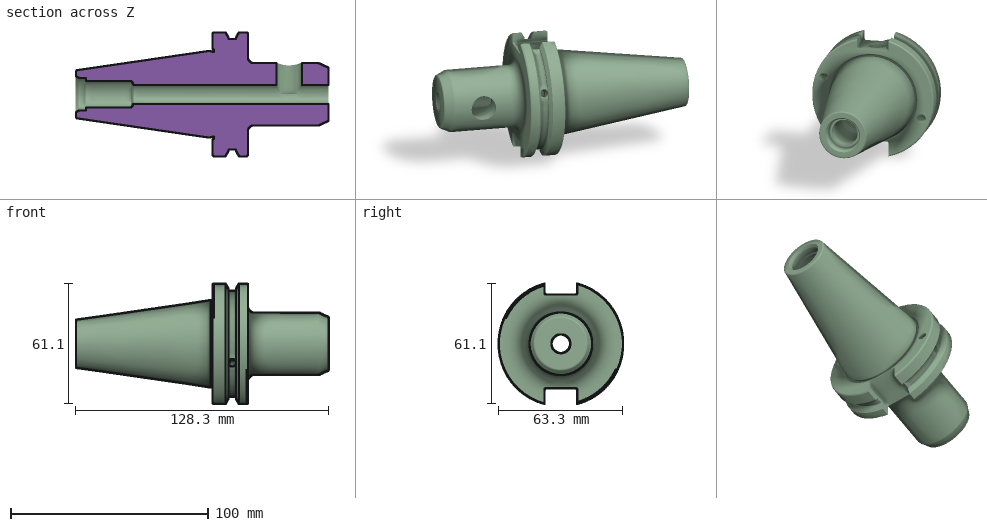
import cadquery as cq
import math

GAUGE_DIAMETER = 44.45
SHANK_LENGTH = 68.25
TAPER_PER_LENGTH = 7 / 24
SHANK_END_DIAMETER = GAUGE_DIAMETER - SHANK_LENGTH * TAPER_PER_LENGTH
SHANK_END_FILLET = 0.8
NECK_DIAMETER = 43.8
NECK_LAND = 0.6
NECK_UNDERCUT = 0.5

FLANGE_START = 1.0
FLANGE_END = 19.05
FLANGE_DIAMETER = 63.26
FLANGE_EDGE_FILLET = 0.8
FACE_RECESS_DIAMETER = 46.4
FACE_RECESS_DEPTH = 0.7
GROOVE_CENTER = 11.0
GROOVE_FLOOR_WIDTH = 3.75
GROOVE_FLOOR_DIAMETER = 56.36
GROOVE_WALL_HEIGHT = 0.8
GROOVE_HALF_ANGLE = 30

BODY_DIAMETER = 31.75
BODY_END = 60.0
BODY_ROOT_FILLET = 3.0
NOSE_LENGTH = 5.0
NOSE_ANGLE = 25
NOSE_EDGE_FILLET = 1.0
NOSE_SHOULDER_FILLET = 1.0

SLOT_WIDTH = 16.43
TOP_SLOT_FLOOR = 25.0
BOTTOM_SLOT_FLOOR = 22.6
SLOT_FLOOR_FILLET = 0.8

DIMPLE_DIAMETER = 9.53
DRILL_POINT_ANGLE = 118

THROUGH_DIAMETER = 9.4
PILOT_DIAMETER = 16.3
PILOT_DEPTH = 5.0
PILOT_MOUTH_DIAMETER = 18.1
PILOT_MOUTH_HALF_ANGLE = 30
THREAD_DIAMETER = 13.39
THREAD_DEPTH = 28.0

SCREW_POSITION = 39.9
SCREW_HOLE_DIAMETER = 12.7

COOLANT_ANGLE = 20
COOLANT_RADIUS = 27.0
COOLANT_TILT = 25
COOLANT_MOUTH_DIAMETER = 4.2
COOLANT_MOUTH_DEPTH = 2.5
COOLANT_FEED_DIAMETER = 3.24
COOLANT_CROSS_DIAMETER = 4.0
COOLANT_CROSS_DEPTH = 9.0

CUT_MARGIN = 1.0


def drill_point_height(diameter):
    """Height of the conical point left by a twist drill."""
    return diameter / 2 / math.tan(math.radians(DRILL_POINT_ANGLE / 2))


def revolve_about_x(profile):
    return profile.close().revolve(360, (0, 0, 0), (1, 0, 0))


def make_shank():
    """Taper shank and the neck that joins it to the flange."""
    profile = (
        cq.Workplane("XY")
        .moveTo(-SHANK_LENGTH, 0)
        .lineTo(-SHANK_LENGTH, SHANK_END_DIAMETER / 2)
        .lineTo(0, GAUGE_DIAMETER / 2)
        .lineTo(0, NECK_DIAMETER / 2)
        .lineTo(FLANGE_START + FACE_RECESS_DEPTH, NECK_DIAMETER / 2)
        .lineTo(FLANGE_START + FACE_RECESS_DEPTH, 0)
    )
    return revolve_about_x(profile).faces("<X").edges().fillet(SHANK_END_FILLET)


def make_flange():
    """Flange disc with rounded rims."""
    disc = (
        cq.Workplane("YZ", origin=(FLANGE_START, 0, 0))
        .circle(FLANGE_DIAMETER / 2)
        .extrude(FLANGE_END - FLANGE_START)
    )
    return disc.edges().fillet(FLANGE_EDGE_FILLET)


def make_face_recess():
    """Shallow ring with sloping walls that undercuts the neck and the flange face around it."""
    outer_radius = FACE_RECESS_DIAMETER / 2
    floor_position = FLANGE_START + FACE_RECESS_DEPTH
    profile = (
        cq.Workplane("XY")
        .moveTo(NECK_LAND, NECK_DIAMETER / 2)
        .lineTo(FLANGE_START, outer_radius)
        .lineTo(floor_position, outer_radius - FACE_RECESS_DEPTH)
        .lineTo(floor_position, NECK_DIAMETER / 2 - NECK_UNDERCUT)
    )
    return revolve_about_x(profile)


def make_groove():
    """Ring that cuts the V groove: upright walls at the floor, flared above."""
    floor_radius = GROOVE_FLOOR_DIAMETER / 2
    wall_radius = floor_radius + GROOVE_WALL_HEIGHT
    outer_radius = FLANGE_DIAMETER / 2 + CUT_MARGIN
    half_floor = GROOVE_FLOOR_WIDTH / 2
    flare = (outer_radius - wall_radius) * math.tan(math.radians(GROOVE_HALF_ANGLE))
    profile = (
        cq.Workplane("XY")
        .moveTo(GROOVE_CENTER - half_floor, floor_radius)
        .lineTo(GROOVE_CENTER - half_floor, wall_radius)
        .lineTo(GROOVE_CENTER - half_floor - flare, outer_radius)
        .lineTo(GROOVE_CENTER + half_floor + flare, outer_radius)
        .lineTo(GROOVE_CENTER + half_floor, wall_radius)
        .lineTo(GROOVE_CENTER + half_floor, floor_radius)
    )
    return revolve_about_x(profile)


def make_body():
    """Cylindrical body with a root fillet and a tapered nose."""
    radius = BODY_DIAMETER / 2
    nose_start = BODY_END - NOSE_LENGTH
    nose_radius = radius - NOSE_LENGTH * math.tan(math.radians(NOSE_ANGLE))
    fillet_end = FLANGE_END + BODY_ROOT_FILLET
    arc_offset = BODY_ROOT_FILLET * (1 - math.sqrt(0.5))
    profile = (
        cq.Workplane("XY")
        .moveTo(FLANGE_START, 0)
        .lineTo(FLANGE_START, radius + BODY_ROOT_FILLET)
        .lineTo(FLANGE_END, radius + BODY_ROOT_FILLET)
        .threePointArc((FLANGE_END + arc_offset, radius + arc_offset), (fillet_end, radius))
        .lineTo(nose_start, radius)
        .lineTo(BODY_END, nose_radius)
        .lineTo(BODY_END, 0)
    )
    body = revolve_about_x(profile)
    shoulder = cq.selectors.NearestToPointSelector((nose_start, 0, 0))
    body = body.edges(shoulder).fillet(NOSE_SHOULDER_FILLET)
    return body.faces(">X").edges().fillet(NOSE_EDGE_FILLET)


def make_drive_slot(floor_height, side):
    """Cutter for one drive slot; side is +1 above the axis and -1 below it."""
    height = FLANGE_DIAMETER / 2 + CUT_MARGIN - floor_height
    cutter = (
        cq.Workplane("XY")
        .box(FLANGE_END, SLOT_WIDTH, height, centered=(False, True, True))
        .translate((0, 0, side * (floor_height + height / 2)))
    )
    floor_face = "<Z" if side > 0 else ">Z"
    return cutter.faces(floor_face).edges("|X").fillet(SLOT_FLOOR_FILLET)


def make_dimple():
    """Conical dimple centred on the groove in the upper slot floor."""
    depth = drill_point_height(DIMPLE_DIAMETER)
    cone = cq.Solid.makeCone(
        DIMPLE_DIAMETER / 2,
        0,
        depth,
        pnt=cq.Vector(GROOVE_CENTER, 0, TOP_SLOT_FLOOR),
        dir=cq.Vector(0, 0, -1),
    )
    return cq.Workplane(cone)


def make_bore():
    """Through bore, pull-stud thread with drill point, pilot and mouth chamfer."""
    through_radius = THROUGH_DIAMETER / 2
    pilot_radius = PILOT_DIAMETER / 2
    mouth_radius = PILOT_MOUTH_DIAMETER / 2
    thread_radius = THREAD_DIAMETER / 2
    point_height = drill_point_height(THREAD_DIAMETER) - drill_point_height(THROUGH_DIAMETER)
    thread_end = THREAD_DEPTH - SHANK_LENGTH
    mouth_depth = (mouth_radius - pilot_radius) / math.tan(math.radians(PILOT_MOUTH_HALF_ANGLE))
    profile = (
        cq.Workplane("XY")
        .moveTo(-SHANK_LENGTH, 0)
        .lineTo(-SHANK_LENGTH, mouth_radius)
        .lineTo(mouth_depth - SHANK_LENGTH, pilot_radius)
        .lineTo(PILOT_DEPTH - SHANK_LENGTH, pilot_radius)
        .lineTo(PILOT_DEPTH - SHANK_LENGTH, thread_radius)
        .lineTo(thread_end, thread_radius)
        .lineTo(thread_end + point_height, through_radius)
        .lineTo(BODY_END, through_radius)
        .lineTo(BODY_END, 0)
    )
    return revolve_about_x(profile)


def make_cylinder(diameter, start, direction, length):
    return cq.Workplane(
        cq.Solid.makeCylinder(diameter / 2, length, pnt=cq.Vector(*start), dir=cq.Vector(*direction))
    )


def make_screw_hole():
    """Clamping screw hole from the +Y side down to the bore."""
    return make_cylinder(SCREW_HOLE_DIAMETER, (SCREW_POSITION, 0, 0), (0, 1, 0), BODY_DIAMETER)


def make_coolant_hole():
    """Inclined face hole, its feed and the radial hole that opens in the groove."""
    tilt = math.radians(COOLANT_TILT)
    axis = (math.cos(tilt), -math.sin(tilt), 0)
    mouth = (FLANGE_START, COOLANT_RADIUS, 0)
    cut_start = tuple(point - step * CUT_MARGIN for point, step in zip(mouth, axis))
    feed_length = (GROOVE_CENTER - FLANGE_START) / math.cos(tilt)
    cross_start = (GROOVE_CENTER, GROOVE_FLOOR_DIAMETER / 2 - COOLANT_CROSS_DEPTH, 0)
    cross_length = COOLANT_CROSS_DEPTH + CUT_MARGIN
    hole = (
        make_cylinder(COOLANT_MOUTH_DIAMETER, cut_start, axis, COOLANT_MOUTH_DEPTH + CUT_MARGIN)
        .union(make_cylinder(COOLANT_FEED_DIAMETER, mouth, axis, feed_length))
        .union(make_cylinder(COOLANT_CROSS_DIAMETER, cross_start, (0, 1, 0), cross_length))
    )
    return hole.rotate((0, 0, 0), (1, 0, 0), COOLANT_ANGLE)


def make_holder():
    flange = make_flange().cut(make_groove())
    flange = flange.cut(make_drive_slot(TOP_SLOT_FLOOR, 1))
    flange = flange.cut(make_drive_slot(BOTTOM_SLOT_FLOOR, -1))
    holder = make_shank().union(flange).union(make_body())
    holder = holder.cut(make_face_recess())
    holder = holder.cut(make_dimple()).cut(make_bore()).cut(make_screw_hole())
    coolant_hole = make_coolant_hole()
    for turn in (0, 180):
        holder = holder.cut(coolant_hole.rotate((0, 0, 0), (1, 0, 0), turn))
    return holder


result = make_holder()